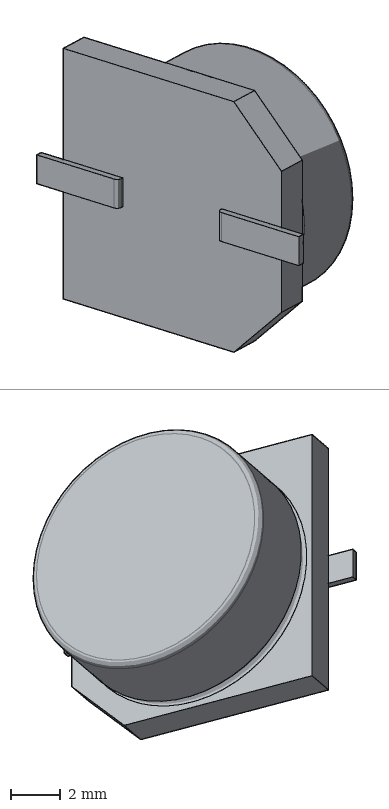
import cadquery as cq

TOTAL_LENGTH = 13.2
TOTAL_HEIGHT = 5.5

BASE_SIDE = 11.0
BASE_THICKNESS = 1.37
CORNER_CUT = 2.4

LEAD_LENGTH = 4.1
LEAD_WIDTH = 1.27
LEAD_THICKNESS = 0.3
LEAD_END_RADIUS = 0.21

CAN_RADIUS = 5.25
RIM_RADIUS = 0.26
GROOVE_RADIUS = 0.22

LEAD_BOTTOM = -TOTAL_HEIGHT / 2
BASE_BOTTOM = LEAD_BOTTOM + LEAD_THICKNESS
CAN_BOTTOM = BASE_BOTTOM + BASE_THICKNESS
CAN_TOP = TOTAL_HEIGHT / 2


def make_base():
    """Square plate with both +X corners cut off at 45 degrees."""
    return (
        cq.Workplane("XY")
        .box(BASE_SIDE, BASE_THICKNESS, BASE_SIDE)
        .edges("|Y and >X")
        .chamfer(CORNER_CUT)
        .translate((0, BASE_BOTTOM + BASE_THICKNESS / 2, 0))
    )


def make_can():
    """Revolved can with a rounded rim and a half-round groove next to the base."""
    groove_center = CAN_BOTTOM + GROOVE_RADIUS
    groove_top = groove_center + GROOVE_RADIUS
    groove_floor = CAN_RADIUS - GROOVE_RADIUS
    return (
        cq.Workplane("XY")
        .moveTo(0, CAN_BOTTOM)
        .lineTo(CAN_RADIUS, CAN_BOTTOM)
        .threePointArc((groove_floor, groove_center), (CAN_RADIUS, groove_top))
        .lineTo(CAN_RADIUS, CAN_TOP)
        .lineTo(0, CAN_TOP)
        .close()
        .revolve(360, (0, 0), (0, 1))
        .edges(">Y")
        .fillet(RIM_RADIUS)
    )


def make_lead(side):
    """Flat lead under the base on the given X side, with its inner outer-face edge rounded."""
    inner_edge = "<X and <Y" if side > 0 else ">X and <Y"
    return (
        cq.Workplane("XY")
        .box(LEAD_LENGTH, LEAD_THICKNESS, LEAD_WIDTH)
        .edges(inner_edge)
        .fillet(LEAD_END_RADIUS)
        .translate((side * (TOTAL_LENGTH - LEAD_LENGTH) / 2, LEAD_BOTTOM + LEAD_THICKNESS / 2, 0))
    )


base = make_base()
can = make_can()
leads = [make_lead(side) for side in (-1, 1)]

result = cq.Compound.makeCompound([
    base.val(),
    can.val(),
    *[lead.val() for lead in leads],
])